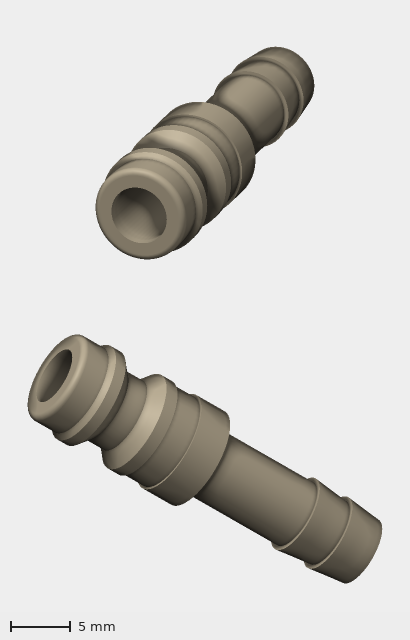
import cadquery as cq

length = 32.0
body_radius = 4.5
tip_radius = 4.1
neck_radius = 3.33
groove_radius = 4.3
stem_radius = 3.05
barb_radius = 3.42
bore_radius = 2.5
tip_fillet = 0.5

tip_end = 2.6
locking_rim_start = 3.07
locking_rim_end = 4.1
neck_start = 5.25
neck_end = 7.2
front_collar_start = 8.35
front_collar_end = 9.5
rear_collar_start = 12.0
rear_collar_end = 15.0
barb_length = 3.408
barb_count = 2
barbs_start = length - barb_count * barb_length


def plug_and_collars():
    """Outer profile from the plug tip to the back of the rear collar."""
    return [
        (tip_radius, 0),
        (tip_radius, tip_end),
        (body_radius, locking_rim_start),
        (body_radius, locking_rim_end),
        (neck_radius, neck_start),
        (neck_radius, neck_end),
        (body_radius, front_collar_start),
        (body_radius, front_collar_end),
        (groove_radius, front_collar_end),
        (groove_radius, rear_collar_start),
        (body_radius, rear_collar_start),
        (body_radius, rear_collar_end),
    ]


def barbed_stem():
    """Outer profile of the hose stem; each barb tapers towards +Y."""
    points = [(stem_radius, rear_collar_end), (stem_radius, barbs_start)]
    for index in range(barb_count):
        start = barbs_start + index * barb_length
        points.append((barb_radius, start))
        points.append((stem_radius, start + barb_length))
    return points


half_section = (
    [(bore_radius, 0)]
    + plug_and_collars()
    + barbed_stem()
    + [(bore_radius, length)]
)
fitting = (
    cq.Workplane("XY")
    .polyline(half_section)
    .close()
    .revolve(360, (0, 0, 0), (0, 1, 0))
)

tip_edge = cq.selectors.RadiusNthSelector(-1)
result = fitting.faces("<Y").edges(tip_edge).fillet(tip_fillet)